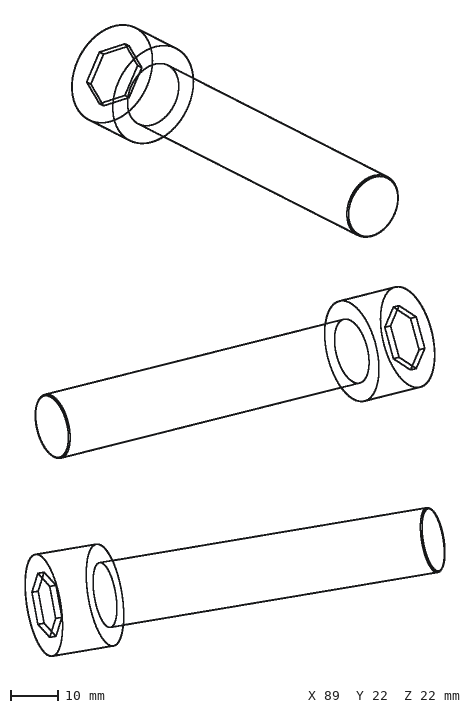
import cadquery as cq
import math

total_length = 89.0
head_diameter = 22.0
shank_diameter = 14.0
head_height = shank_diameter
tip_chamfer = 0.3

socket_across_flats = 12.0
socket_depth = 1.4
socket_across_corners = socket_across_flats / math.cos(math.pi / 6)

head = cq.Workplane("YZ").circle(head_diameter / 2).extrude(head_height)

shank = (
    cq.Workplane("YZ")
    .circle(shank_diameter / 2)
    .extrude(total_length)
    .faces(">X")
    .chamfer(tip_chamfer)
)

socket = cq.Workplane("YZ").polygon(6, socket_across_corners).extrude(socket_depth)

result = head.union(shank).cut(socket)